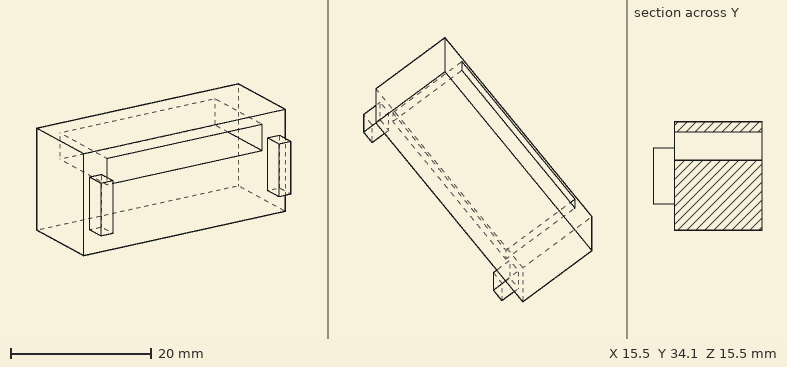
import cadquery as cq

body_depth = 12.5
body_length = 34.08
body_height = 15.5

slot_length = 26.2
slot_height = 4.0
slot_top_wall = 1.5

tab_projection = 3.0
tab_width = 2.0
tab_height = 8.0
tab_end_gap = 1.0


def make_body():
    """Block with its -X face on X = 0, centred on Y and Z."""
    return cq.Workplane("XY").box(body_depth, body_length, body_height, centered=(False, True, True))


def make_slot():
    """Rectangular cutter that passes through the block along X."""
    slot_center_z = body_height / 2 - slot_top_wall - slot_height / 2
    return (
        cq.Workplane("XY")
        .box(body_depth, slot_length, slot_height, centered=(False, True, True))
        .translate((0, 0, slot_center_z))
    )


def make_tab(side):
    """Tab on the +X face; side is +1 for the +Y end and -1 for the -Y end."""
    tab_center_y = side * (body_length / 2 - tab_end_gap - tab_width / 2)
    return (
        cq.Workplane("XY")
        .box(tab_projection, tab_width, tab_height, centered=(False, True, True))
        .translate((body_depth, tab_center_y, 0))
    )


result = make_body().cut(make_slot())
for end_side in (-1, 1):
    result = result.union(make_tab(end_side))